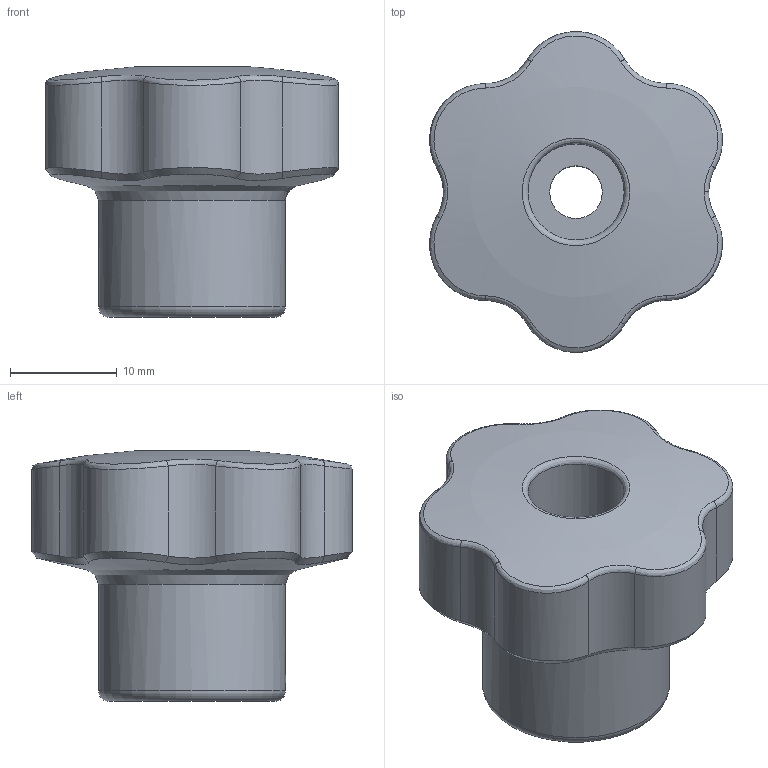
import cadquery as cq
import math

LOBE_COUNT = 6
GRIP_RADIUS = 15.0
LOBE_RADIUS = 5.3
VALLEY_RADIUS = 4.5
LOBE_PITCH = 360.0 / LOBE_COUNT
FIRST_LOBE_ANGLE = 90.0

DOME_RADIUS = 75.0
DOME_APEX_Z = 23.645
UNDERSIDE_ANGLE = 13.0
NECK_Z = 12.07

HUB_DIAMETER = 17.5
HUB_RADIUS = HUB_DIAMETER / 2

THROUGH_DIAMETER = 4.92
COUNTERBORE_DIAMETER = 9.0
COUNTERBORE_FLOOR_Z = 12.0

TOP_EDGE_RADIUS = 0.5
UNDERSIDE_CHAMFER = 0.5
NECK_RADIUS = 1.4
HUB_END_RADIUS = 1.0
MOUTH_RADIUS = 0.5

BLANK_ALLOWANCE = 2.0
BLANK_RADIUS = GRIP_RADIUS + BLANK_ALLOWANCE


def polar(radius, angle):
    return (radius * math.cos(math.radians(angle)), radius * math.sin(math.radians(angle)))


def lobed_prism():
    """Prism with convex lobes joined by tangent concave valleys."""
    half_pitch = math.radians(LOBE_PITCH / 2)
    lobe_centre = GRIP_RADIUS - LOBE_RADIUS
    side = lobe_centre * math.sin(half_pitch)
    reach = LOBE_RADIUS + VALLEY_RADIUS
    valley_centre = lobe_centre * math.cos(half_pitch) + math.sqrt(reach**2 - side**2)

    share = VALLEY_RADIUS / reach
    tangent_along = valley_centre + share * (lobe_centre * math.cos(half_pitch) - valley_centre)
    tangent_across = share * side
    tangent_radius = math.hypot(tangent_along, tangent_across)
    tangent_offset = LOBE_PITCH / 2 - math.degrees(math.atan2(tangent_across, tangent_along))

    outline = cq.Workplane("XY").moveTo(*polar(tangent_radius, FIRST_LOBE_ANGLE - tangent_offset))
    for index in range(LOBE_COUNT):
        lobe = FIRST_LOBE_ANGLE + index * LOBE_PITCH
        valley = lobe + LOBE_PITCH / 2
        next_lobe = lobe + LOBE_PITCH
        outline = outline.threePointArc(
            polar(GRIP_RADIUS, lobe),
            polar(tangent_radius, lobe + tangent_offset),
        ).threePointArc(
            polar(valley_centre - VALLEY_RADIUS, valley),
            polar(tangent_radius, next_lobe - tangent_offset),
        )
    return outline.close().extrude(DOME_APEX_Z)


def dome_z(radius):
    return DOME_APEX_Z - DOME_RADIUS + math.sqrt(DOME_RADIUS**2 - radius**2)


def grip_blank():
    """Turned disc with a spherical top and a conical underside."""
    slope = math.tan(math.radians(UNDERSIDE_ANGLE))
    axis_z = NECK_Z - HUB_RADIUS * slope
    rim_z = axis_z + BLANK_RADIUS * slope
    return (
        cq.Workplane("XZ")
        .moveTo(0, axis_z)
        .lineTo(BLANK_RADIUS, rim_z)
        .lineTo(BLANK_RADIUS, dome_z(BLANK_RADIUS))
        .threePointArc((BLANK_RADIUS / 2, dome_z(BLANK_RADIUS / 2)), (0, DOME_APEX_Z))
        .close()
        .revolve(360, (0, 0, 0), (0, 1, 0))
    )


def grip():
    body = grip_blank().intersect(lobed_prism())
    body = body.faces(">Z").edges().fillet(TOP_EDGE_RADIUS)
    return body.faces("<Z").edges().chamfer(UNDERSIDE_CHAMFER)


def hub():
    body = cq.Workplane("XY").circle(HUB_RADIUS).extrude(NECK_Z + NECK_RADIUS)
    return body.faces("<Z").edges().fillet(HUB_END_RADIUS)


def round_neck(body):
    margin = 0.1
    around_neck = cq.selectors.BoxSelector(
        (-GRIP_RADIUS, -GRIP_RADIUS, NECK_Z - margin),
        (GRIP_RADIUS, GRIP_RADIUS, NECK_Z + margin),
    )
    return body.edges(around_neck).fillet(NECK_RADIUS)


def bore(body):
    """Through hole with a deep counterbore from the top and a rounded mouth."""
    through = cq.Workplane("XY").circle(THROUGH_DIAMETER / 2).extrude(DOME_APEX_Z)
    counterbore = (
        cq.Workplane("XY", origin=(0, 0, COUNTERBORE_FLOOR_Z))
        .circle(COUNTERBORE_DIAMETER / 2)
        .extrude(DOME_APEX_Z - COUNTERBORE_FLOOR_Z)
    )
    body = body.cut(through).cut(counterbore)
    return body.edges(">Z").fillet(MOUTH_RADIUS)


result = bore(round_neck(grip().union(hub())))